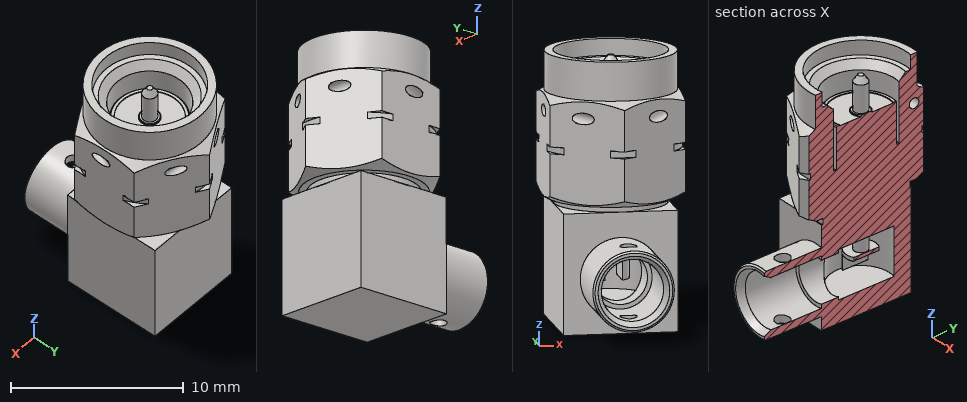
import cadquery as cq
import math


clearance = 0.16

block_width = 6.75
block_height = 7.19

neck_diameter = 6.65
nut_bottom = 7.56
nut_top = 13.84
total_height = 16.15
nut_across_flats = 8.0
nut_across_corners = nut_across_flats / math.cos(math.radians(30))
nut_chamfer_angle = 30.0
nut_top_land_diameter = 7.75
nut_bottom_land_diameter = 7.59
sleeve_diameter = 7.75

groove_bottom = 10.56
groove_height = 0.4
groove_floor_diameter = 8.5

wire_hole_diameter = 0.68
wire_hole_offset = 3.59
wire_hole_z = 12.76

counterbore_diameter = 6.7
counterbore_depth = 1.0
lead_in_diameter = 5.98
socket_diameter = 4.99
socket_bottom = 10.5

tube_diameter = 4.65
tube_top = 13.44
tube_chamfer = 0.06
insulator_diameter = 4.13
insulator_recess = 0.05
shoulder_diameter = 1.31
shoulder_height = 0.1
shoulder_chamfer = 0.05
pin_diameter = 0.95
pin_tip_diameter = 0.37
pin_tip_length = 0.44
pin_top = 15.85

barrel_axis_z = 3.3
barrel_diameter = 4.8
barrel_end = 7.65
barrel_chamfer = 0.11
barrel_bore_diameter = 3.67
mouth_diameter = 4.22
mouth_depth = 0.5
solder_hole_diameter = 1.0
solder_hole_y = -5.86

passage_diameter = 3.12
chamber_diameter = 4.26
chamber_bottom = 1.62
chamber_top = 5.0
fork_diameter = 2.16
fork_bottom = 2.7
fork_top = 4.05
slot_width = 1.02
slot_top = 3.78


def cylinder(diameter, bottom, top):
    """Upright cylinder on the Z axis."""
    return cq.Workplane("XY").workplane(offset=bottom).circle(diameter / 2).extrude(top - bottom)


def cone(bottom_diameter, top_diameter, bottom, top):
    """Upright truncated cone on the Z axis."""
    return cq.Workplane(
        cq.Solid.makeCone(bottom_diameter / 2, top_diameter / 2, top - bottom, cq.Vector(0, 0, bottom))
    )


def cable_cylinder(diameter, start, end):
    """Cylinder on the cable axis between two distances from the mating axis."""
    base = cq.Workplane("XZ", origin=(0, 0, barrel_axis_z)).workplane(offset=start)
    return base.circle(diameter / 2).extrude(end - start)


def make_nut():
    """Hexagon with a corner on +Y, both ends chamfered to a cone."""
    nut = (
        cq.Workplane("XY")
        .workplane(offset=nut_bottom)
        .transformed(rotate=(0, 0, 90))
        .polygon(6, nut_across_corners)
        .extrude(nut_top - nut_bottom)
    )
    slope = math.tan(math.radians(nut_chamfer_angle))
    envelope_radius = nut_across_corners / 2 + clearance
    top_land = nut_top_land_diameter / 2
    bottom_land = nut_bottom_land_diameter / 2
    envelope = (
        cq.Workplane("XZ")
        .moveTo(0, nut_bottom)
        .lineTo(bottom_land, nut_bottom)
        .lineTo(envelope_radius, nut_bottom + (envelope_radius - bottom_land) * slope)
        .lineTo(envelope_radius, nut_top - (envelope_radius - top_land) * slope)
        .lineTo(top_land, nut_top)
        .lineTo(0, nut_top)
        .close()
        .revolve(360, (0, 0, 0), (0, 1, 0))
    )
    return nut.intersect(envelope)


def make_corner_groove():
    """Ring that notches only the six corners of the nut."""
    groove_top = groove_bottom + groove_height
    outside = cylinder(nut_across_corners + 2 * clearance, groove_bottom, groove_top)
    return outside.cut(cylinder(groove_floor_diameter, groove_bottom, groove_top))


def make_wire_holes():
    """Three straight holes, each square to the corner that it crosses."""
    hole = (
        cq.Workplane("YZ", origin=(0, wire_hole_offset, wire_hole_z))
        .circle(wire_hole_diameter / 2)
        .extrude(nut_across_flats / 2, both=True)
    )
    holes = hole
    for angle in (120, 240):
        holes = holes.union(hole.rotate((0, 0, 0), (0, 0, 1), angle))
    return holes


def make_socket():
    """Stepped opening in the top of the nut with a 45 degree lead-in."""
    counterbore_floor = total_height - counterbore_depth
    lead_in_bottom = counterbore_floor - (lead_in_diameter - socket_diameter) / 2
    return (
        cylinder(counterbore_diameter, counterbore_floor, total_height)
        .union(cone(socket_diameter, lead_in_diameter, lead_in_bottom, counterbore_floor))
        .union(cylinder(socket_diameter, socket_bottom, lead_in_bottom))
    )


def make_inner_contacts():
    """Contact tube with a sunk insulator face and the pointed centre pin."""
    insulator_top = tube_top - insulator_recess
    tube = cylinder(tube_diameter, socket_bottom, tube_top).faces(">Z").chamfer(tube_chamfer)
    tube = tube.cut(cylinder(insulator_diameter, insulator_top, tube_top))
    shoulder_top = insulator_top + shoulder_height
    shoulder = cylinder(shoulder_diameter, insulator_top, shoulder_top).faces(">Z").chamfer(shoulder_chamfer)
    pin_shank_top = pin_top - pin_tip_length
    pin = cylinder(pin_diameter, insulator_top, pin_shank_top)
    tip = cone(pin_diameter, pin_tip_diameter, pin_shank_top, pin_top)
    return tube.union(shoulder).union(pin).union(tip)


def make_barrel_bore():
    """Cable bore with a conical mouth, up to the face of the block."""
    bore = cable_cylinder(barrel_bore_diameter, block_width / 2, barrel_end)
    mouth = (
        cq.Workplane("XZ", origin=(0, 0, barrel_axis_z))
        .workplane(offset=barrel_end - mouth_depth)
        .circle(barrel_bore_diameter / 2)
        .workplane(offset=mouth_depth)
        .circle(mouth_diameter / 2)
        .loft(ruled=True)
    )
    return bore.union(mouth)


def make_solder_holes():
    """Hole straight through both walls of the barrel."""
    return (
        cq.Workplane("XY", origin=(0, solder_hole_y, barrel_axis_z))
        .circle(solder_hole_diameter / 2)
        .extrude(barrel_diameter, both=True)
    )


def make_forked_contact():
    """Lower end of the centre contact: a stem above a cup slotted along the cable axis."""
    slot_height = slot_top - fork_bottom
    slot = cq.Workplane("XY").box(slot_width, fork_diameter, slot_height, centered=(True, True, False))
    fork = cylinder(fork_diameter, fork_bottom, fork_top).cut(slot.translate((0, 0, fork_bottom)))
    return fork.union(cylinder(pin_diameter, fork_top, chamber_top))


block = cq.Workplane("XY").box(block_width, block_width, block_height, centered=(True, True, False))
barrel = cable_cylinder(barrel_diameter, 0, barrel_end).faces("<Y").chamfer(barrel_chamfer)
body = block.union(barrel).union(cylinder(neck_diameter, block_height, nut_bottom))

nut = make_nut().union(cylinder(sleeve_diameter, nut_top, total_height))
nut = nut.cut(make_corner_groove()).cut(make_socket()).cut(make_wire_holes())

passage = cable_cylinder(passage_diameter, 0, block_width / 2)
chamber = cylinder(chamber_diameter, chamber_bottom, chamber_top)
body = body.cut(make_barrel_bore()).cut(make_solder_holes()).cut(passage.union(chamber))
result = body.union(nut).union(make_inner_contacts()).union(make_forked_contact())